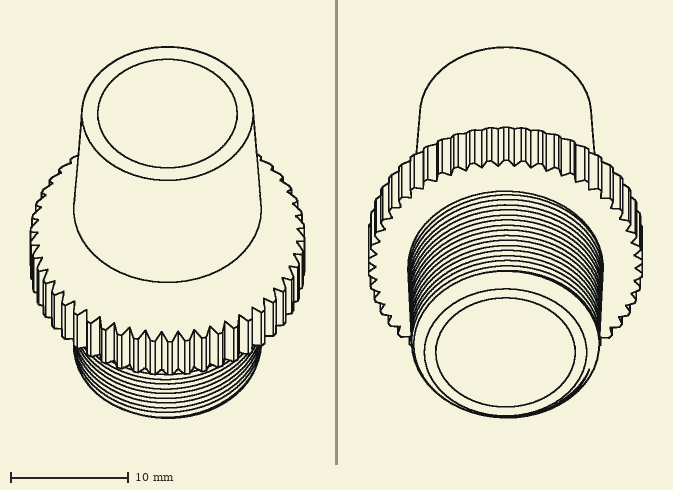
import cadquery as cq
import math

total_height = 32.7
collar_bottom = 11.65
collar_corner = 16.2
shoulder_height = 19.65

bore_radius = 5.95
top_radius = 7.32
shoulder_radius = 8.0
collar_radius = 11.7

thread_radius = 8.0
thread_chamfer = 1.08
thread_taper = 1 / 32
thread_pitch = 1.35
thread_depth = 0.45
groove_width = 0.62
groove_root_width = 0.15
groove_start = -0.3
cutter_overshoot = 0.1

knurl_count = 50
knurl_depth = 0.62
knurl_width = 1.08


def thread_crest(height):
    """Radius of the thread crest at a given height."""
    return thread_radius + (height - thread_chamfer) * thread_taper


def make_spigot():
    """Tapered spigot, chamfered at its lower end and continued up inside the collar."""
    outline = [
        (0, 0),
        (thread_radius - thread_chamfer, 0),
        (thread_radius, thread_chamfer),
        (thread_crest(collar_corner), collar_corner),
        (0, collar_corner),
    ]
    return cq.Workplane("XZ").polyline(outline).close().revolve(360, (0, 0), (0, 1))


def make_thread_cutter():
    """Right-hand helical groove that follows the taper and ends inside the collar."""
    start_radius = thread_crest(groove_start)
    helix = cq.Wire.makeHelix(
        thread_pitch,
        collar_bottom + thread_pitch - groove_start,
        start_radius,
        angle=math.degrees(math.atan(thread_taper)),
    )
    flank_slope = (groove_width - groove_root_width) / 2 / thread_depth
    root_half = groove_root_width / 2
    mouth_half = groove_width / 2 + cutter_overshoot * flank_slope
    root_radius = start_radius - thread_depth
    mouth_radius = start_radius + cutter_overshoot
    profile = [
        (root_radius, -root_half),
        (mouth_radius, -mouth_half),
        (mouth_radius, mouth_half),
        (root_radius, root_half),
    ]
    groove = cq.Workplane("XZ").polyline(profile).close().sweep(cq.Workplane(helix), isFrenet=True)
    return groove.translate((0, 0, groove_start))


def make_upper_body():
    """Collar, sloping shoulder and tapered neck."""
    outline = [
        (0, collar_bottom),
        (collar_radius, collar_bottom),
        (collar_radius, collar_corner),
        (shoulder_radius, shoulder_height),
        (top_radius, total_height),
        (0, total_height),
    ]
    return cq.Workplane("XZ").polyline(outline).close().revolve(360, (0, 0), (0, 1))


def make_knurl_cutter():
    """Ring of V grooves, the first one on the +X axis."""
    root_radius = collar_radius - knurl_depth
    mouth_radius = collar_radius + knurl_depth
    groove = (
        cq.Workplane("XY", origin=(0, 0, collar_bottom))
        .polyline([(root_radius, 0), (mouth_radius, -knurl_width), (mouth_radius, knurl_width)])
        .close()
        .extrude(shoulder_height - collar_bottom)
    )
    grooves = [
        groove.rotate((0, 0, 0), (0, 0, 1), index * 360 / knurl_count).val()
        for index in range(knurl_count)
    ]
    return cq.Compound.makeCompound(grooves)


spigot = make_spigot().cut(make_thread_cutter())
upper_body = make_upper_body().cut(cq.Workplane(make_knurl_cutter()))
bore = cq.Workplane("XY").circle(bore_radius).extrude(total_height)

result = upper_body.union(spigot).cut(bore)